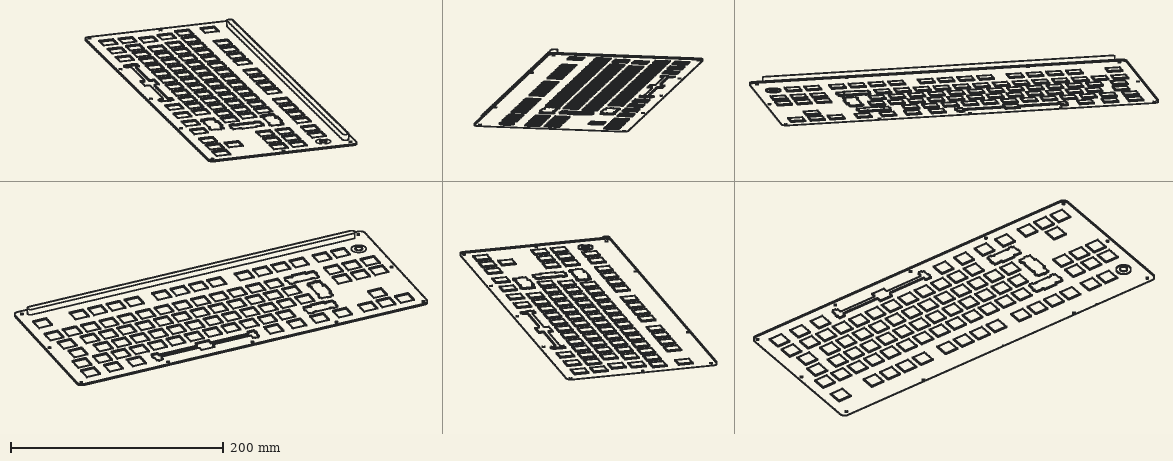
import cadquery as cq
KEY_UNIT = 19.05
LAYOUT_UNITS = 18.25
MARGIN = 8.0
PLATE_LENGTH = LAYOUT_UNITS * KEY_UNIT + 2 * MARGIN
PLATE_DEPTH = 147.82
PLATE_THICKNESS = 1.5
CORNER_RADIUS = 5.0
TOTAL_HEIGHT = 7.2

RAIL_LENGTH = 339.8
RAIL_WIDTH = 6.0
RAIL_CORNER_RADIUS = 2.99
RAIL_SETBACK = 7.5

SWITCH_SIZE = 14.0
FUNCTION_ROW_PITCH = 25.48
KNOB_HOLE_DIAMETER = 7.0
KNOB_RECESS_DIAMETER = 14.0
KNOB_RECESS_DEPTH = 0.7

SCREW_DIAMETER = 2.25
SCREW_INSET = MARGIN / 2
EDGE_SCREW_X = 87.5
REAR_SCREW_INSET = 2.0
REAR_CORNER_INSET_X = 7.0
REAR_CORNER_INSET_Y = 5.0
SIDE_SCREW_Y = 1.0

SHORT_STAB_OFFSET = 11.938
SPACE_STAB_OFFSET = 50.0
STAB_WIDTH = 6.65
STAB_REAR = 5.65
STAB_FRONT = -6.65
CLIP_WIDTH = 3.0
CLIP_FRONT = -7.97
EAR_DEPTH = 0.875
EAR_REAR = 2.3
EAR_FRONT = -0.5
SHORT_BRIDGE_REAR = 4.9
SHORT_BRIDGE_FRONT = -5.97
SPACE_BRIDGE_REAR = 2.3
SPACE_BRIDGE_FRONT = -2.3

NAV_COLUMNS = [15.25, 16.25, 17.25]


def run(first, count):
    """Columns of adjacent one-unit keys."""
    return [first + i for i in range(count)]


FUNCTION_ROW, NUMBER_ROW, TAB_ROW, CAPS_ROW, SHIFT_ROW, SPACE_ROW = range(6)
SWITCH_COLUMNS = {
    FUNCTION_ROW: [0] + run(2, 4) + run(6.5, 4) + run(11, 4) + NAV_COLUMNS[:2],
    NUMBER_ROW: run(0, 13) + NAV_COLUMNS,
    TAB_ROW: [0.25] + run(1.5, 12) + NAV_COLUMNS,
    CAPS_ROW: [0.375] + run(1.75, 12),
    SHIFT_ROW: [0.125] + run(1.25, 11) + [NAV_COLUMNS[1]],
    SPACE_ROW: [0.125, 1.375, 2.625, 10.125, 11.375, 12.625, 13.875] + NAV_COLUMNS,
}
BACKSPACE_COLUMN = 13.5
ENTER_COLUMN = 13.875
RIGHT_SHIFT_COLUMN = 13.125
SPACE_COLUMN = 6.375
KNOB_COLUMN = NAV_COLUMNS[2]


def column_x(column):
    return -PLATE_LENGTH / 2 + MARGIN + (column + 0.5) * KEY_UNIT


def row_y(row):
    space_row_y = -PLATE_DEPTH / 2 + MARGIN + KEY_UNIT / 2
    if row == FUNCTION_ROW:
        return row_y(NUMBER_ROW) + FUNCTION_ROW_PITCH
    return space_row_y + (SPACE_ROW - row) * KEY_UNIT


def block(x_min, x_max, y_min, y_max):
    """Cutting block through the plate thickness."""
    return (
        cq.Workplane("XY")
        .center((x_min + x_max) / 2, (y_min + y_max) / 2)
        .rect(x_max - x_min, y_max - y_min)
        .extrude(PLATE_THICKNESS)
    )


def stabilized_key(stab_offset, bridge_rear, bridge_front):
    """Switch cutout joined to a stabilizer cutout on each side, centred on the key."""
    half_switch = SWITCH_SIZE / 2
    inner = stab_offset - STAB_WIDTH / 2
    outer = stab_offset + STAB_WIDTH / 2
    cutter = block(-half_switch, half_switch, -half_switch, half_switch)
    cutter = cutter.union(block(-stab_offset, stab_offset, bridge_front, bridge_rear))
    stab = block(inner, outer, STAB_FRONT, STAB_REAR)
    stab = stab.union(block(stab_offset, outer + EAR_DEPTH, EAR_FRONT, EAR_REAR))
    half_clip = CLIP_WIDTH / 2
    stab = stab.union(block(stab_offset - half_clip, stab_offset + half_clip, CLIP_FRONT, 0))
    return cutter.union(stab).union(stab.mirror("YZ"))


def make_plate():
    return (
        cq.Workplane("XY")
        .rect(PLATE_LENGTH, PLATE_DEPTH)
        .extrude(PLATE_THICKNESS)
        .edges("|Z")
        .fillet(CORNER_RADIUS)
    )


def make_rail():
    return (
        cq.Workplane("XY")
        .center(0, PLATE_DEPTH / 2 - RAIL_SETBACK)
        .rect(RAIL_LENGTH, RAIL_WIDTH)
        .extrude(TOTAL_HEIGHT)
        .edges("|Z")
        .fillet(RAIL_CORNER_RADIUS)
    )


def cut_switches(plate):
    centres = [
        (column_x(column), row_y(row))
        for row, columns in SWITCH_COLUMNS.items()
        for column in columns
    ]
    cutter = (
        cq.Workplane("XY")
        .pushPoints(centres)
        .rect(SWITCH_SIZE, SWITCH_SIZE)
        .extrude(PLATE_THICKNESS)
    )
    return plate.cut(cutter)


def cut_stabilized_keys(plate):
    short_key = stabilized_key(SHORT_STAB_OFFSET, SHORT_BRIDGE_REAR, SHORT_BRIDGE_FRONT)
    space_key = stabilized_key(SPACE_STAB_OFFSET, SPACE_BRIDGE_REAR, SPACE_BRIDGE_FRONT)
    enter_key = short_key.rotate((0, 0, 0), (0, 0, 1), -90)
    enter_y = (row_y(TAB_ROW) + row_y(CAPS_ROW)) / 2
    plate = plate.cut(short_key.translate((column_x(BACKSPACE_COLUMN), row_y(NUMBER_ROW), 0)))
    plate = plate.cut(short_key.translate((column_x(RIGHT_SHIFT_COLUMN), row_y(SHIFT_ROW), 0)))
    plate = plate.cut(enter_key.translate((column_x(ENTER_COLUMN), enter_y, 0)))
    return plate.cut(space_key.translate((column_x(SPACE_COLUMN), row_y(SPACE_ROW), 0)))


def cut_screw_holes(plate):
    half_length = PLATE_LENGTH / 2
    half_depth = PLATE_DEPTH / 2
    front_y = -half_depth + SCREW_INSET
    screws = [(0, front_y)]
    for side in (-1, 1):
        screws += [
            (side * EDGE_SCREW_X, front_y),
            (side * EDGE_SCREW_X, half_depth - REAR_SCREW_INSET),
            (side * (half_length - SCREW_INSET), front_y),
            (side * (half_length - SCREW_INSET), SIDE_SCREW_Y),
            (side * (half_length - REAR_CORNER_INSET_X), half_depth - REAR_CORNER_INSET_Y),
        ]
    cutter = (
        cq.Workplane("XY")
        .pushPoints(screws)
        .circle(SCREW_DIAMETER / 2)
        .extrude(PLATE_THICKNESS)
    )
    return plate.cut(cutter)


def cut_knob_hole(plate):
    """Through hole with a shallow round recess on the underside."""
    centre = cq.Workplane("XY").center(column_x(KNOB_COLUMN), row_y(FUNCTION_ROW))
    hole = centre.circle(KNOB_HOLE_DIAMETER / 2).extrude(PLATE_THICKNESS)
    recess = centre.circle(KNOB_RECESS_DIAMETER / 2).extrude(KNOB_RECESS_DEPTH)
    return plate.cut(hole).cut(recess)


plate = make_plate()
plate = cut_switches(plate)
plate = cut_stabilized_keys(plate)
plate = cut_screw_holes(plate)
plate = cut_knob_hole(plate)
result = plate.union(make_rail())